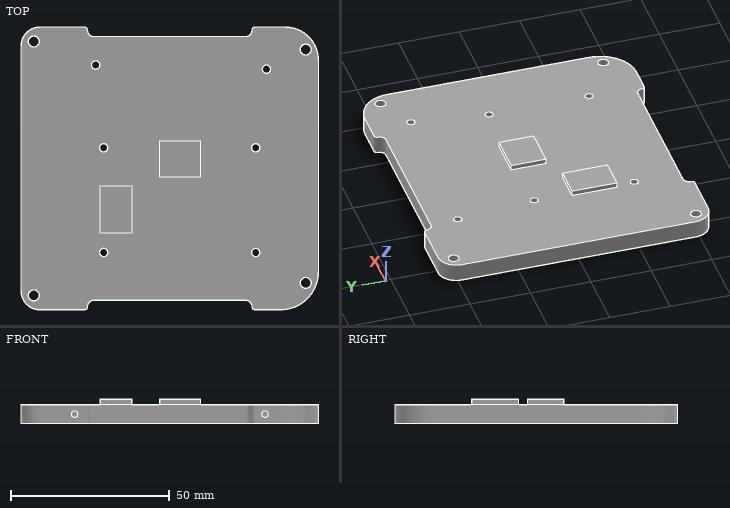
import cadquery as cq

LENGTH = 94.0
WIDTH = 89.4
TOTAL_HEIGHT = 7.7
PLATE_THICKNESS = 6.0
LEFT_CORNER_RADIUS = 6.0
FRONT_RIGHT_RADIUS = 12.0
BACK_RIGHT_RADIUS = 10.5

NOTCH_START = 21.1
NOTCH_INNER_RADIUS = 2.0
NOTCH_OUTER_RADIUS = 1.0
NOTCH_DEPTH = NOTCH_INNER_RADIUS + NOTCH_OUTER_RADIUS

CORNER_HOLE_DIAMETER = 3.4
LEFT_HOLE_X = 4.0
RIGHT_HOLE_X = LENGTH - LEFT_HOLE_X
LEFT_HOLE_INSET = 4.6
FRONT_RIGHT_HOLE_Y = 8.6
BACK_RIGHT_HOLE_Y = 82.25
CORNER_HOLES = [
    (LEFT_HOLE_X, LEFT_HOLE_INSET),
    (LEFT_HOLE_X, WIDTH - LEFT_HOLE_INSET),
    (RIGHT_HOLE_X, FRONT_RIGHT_HOLE_Y),
    (RIGHT_HOLE_X, BACK_RIGHT_HOLE_Y),
]

INNER_HOLE_DIAMETER = 2.5
GRID_LEFT_X = 26.1
GRID_FRONT_Y = 18.1
GRID_LENGTH = 48.0
GRID_WIDTH = 33.1
INNER_HOLES = [
    (GRID_LEFT_X, GRID_FRONT_Y),
    (GRID_LEFT_X + GRID_LENGTH, GRID_FRONT_Y),
    (GRID_LEFT_X, GRID_FRONT_Y + GRID_WIDTH),
    (GRID_LEFT_X + GRID_LENGTH, GRID_FRONT_Y + GRID_WIDTH),
    (23.6, 77.4),
    (77.55, 76.0),
]

EDGE_HOLE_DIAMETER = 2.1
EDGE_HOLE_DEPTH = 6.0
EDGE_HOLE_X = 16.9

PAD_HEIGHT = TOTAL_HEIGHT - PLATE_THICKNESS
SQUARISH_PAD_CORNER = (43.8, 41.9)
SQUARISH_PAD_SIZE = (13.0, 11.5)
OBLONG_PAD_CORNER = (25.0, 24.25)
OBLONG_PAD_SIZE = (10.1, 14.85)


def upright_edge_at(x, y):
    """Select the vertical plate edge that passes through (x, y)."""
    return cq.selectors.NearestToPointSelector((x, y, PLATE_THICKNESS / 2))


def make_notch():
    """Build the material removed at the front notch: an S-curve of two quarter arcs at each end."""
    left = NOTCH_START
    right = LENGTH - NOTCH_START
    outer = NOTCH_OUTER_RADIUS
    inner = NOTCH_INNER_RADIUS
    return (
        cq.Workplane("XY")
        .moveTo(left - outer, 0)
        .radiusArc((left, outer), -outer)
        .radiusArc((left + inner, NOTCH_DEPTH), inner)
        .lineTo(right - inner, NOTCH_DEPTH)
        .radiusArc((right, outer), inner)
        .radiusArc((right + outer, 0), -outer)
        .close()
        .extrude(PLATE_THICKNESS)
    )


def drill_through(plate, points, diameter):
    """Drill vertical holes through the plate at the given points."""
    drills = cq.Workplane("XY").pushPoints(points).circle(diameter / 2).extrude(PLATE_THICKNESS)
    return plate.cut(drills)


def drill_front_edge(plate):
    """Drill a blind hole into the front edge on each side of the notch."""
    for x in (EDGE_HOLE_X, LENGTH - EDGE_HOLE_X):
        drill = cq.Solid.makeCylinder(
            EDGE_HOLE_DIAMETER / 2,
            EDGE_HOLE_DEPTH,
            cq.Vector(x, 0, PLATE_THICKNESS / 2),
            cq.Vector(0, 1, 0),
        )
        plate = plate.cut(cq.Workplane(drill))
    return plate


def make_plate():
    """Build the base plate with its rounded corners, notches and holes."""
    plate = cq.Workplane("XY").box(LENGTH, WIDTH, PLATE_THICKNESS, centered=False)
    plate = plate.edges("|Z and <X").fillet(LEFT_CORNER_RADIUS)
    plate = plate.edges("|Z").edges(upright_edge_at(LENGTH, 0)).fillet(FRONT_RIGHT_RADIUS)
    plate = plate.edges("|Z").edges(upright_edge_at(LENGTH, WIDTH)).fillet(BACK_RIGHT_RADIUS)
    notch = make_notch()
    plate = plate.cut(notch).cut(notch.mirror("XZ", (0, WIDTH / 2, 0)))
    plate = drill_through(plate, CORNER_HOLES, CORNER_HOLE_DIAMETER)
    plate = drill_through(plate, INNER_HOLES, INNER_HOLE_DIAMETER)
    return drill_front_edge(plate)


def make_pad(corner, size):
    """Build a rectangular pad resting on top of the plate."""
    return (
        cq.Workplane("XY", origin=(*corner, PLATE_THICKNESS))
        .box(*size, PAD_HEIGHT, centered=False)
    )


plate = make_plate()
squarish_pad = make_pad(SQUARISH_PAD_CORNER, SQUARISH_PAD_SIZE)
oblong_pad = make_pad(OBLONG_PAD_CORNER, OBLONG_PAD_SIZE)

result = cq.Compound.makeCompound([plate.val(), squarish_pad.val(), oblong_pad.val()])